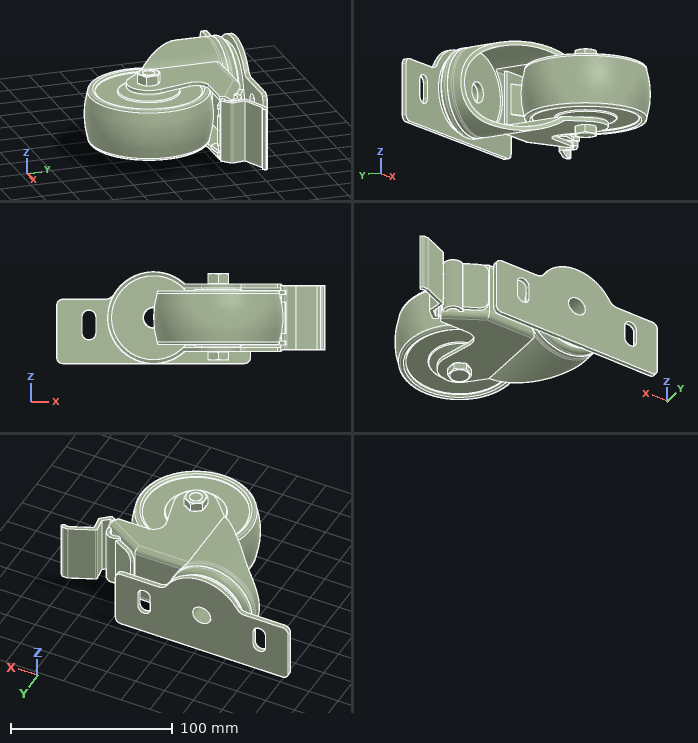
import cadquery as cq
import math


swivel_dia = 57.0
swivel_r = swivel_dia / 2
plate_length = 120.0
plate_width = 40.0
plate_t = 3.0
plate_corner_r = 4.0
plate_neck_r = 6.6
plate_bottom_z = -swivel_r
plate_top_z = plate_bottom_z + plate_width
slot_x = 40.0
slot_z = -4.5
slot_length = 18.3
slot_width = 8.5
plate_bore_dia = 12.5
head_top_r = 23.0
head_top_bulge = (24.9, -4.6)
head_rim_bulge = (27.9, -8.6)
head_seam_dia = 52.0
head_seam_top_y = -6.6
head_seam_bottom_y = -7.1
head_rim_top_y = -11.0
head_rim_bottom_y = -13.0

fork_t = 2.5
fork_top_y = -16.0
drum_top_dia = 56.5
drum_top_y = head_rim_bottom_y
drum_floor_y = -17.0
fork_shoulder = 1.5
fork_half_width = 20.9
fork_inner_half = fork_half_width - fork_t
fork_bend_r = 4.0
fork_bore_dia = 13.1
fork_front_y = -22.9
fork_curve_middle = (-19.3, -28.0)
fork_curve_end = (-11.6, -35.0)
axle_x = 40.0
axle_y = -70.7
axle_eye_r = 14.0
front_edge_angle = 47.6
rear_edge_angle = 14.0
tip_bottom_y = -37.0
throat_r = 8.0
slope_start_x = 54.5
slope_angle = 30.0
slope_length = 29.9
brake_slot_start = 12.5
brake_slot_half = 10.0

wheel_r = 40.0
tread_edge_r = 37.8
tread_edge_z = 15.1
tread_round_r = 37.5
tread_round_z = 16.3
rim_outer_r = 36.7
rim_inner_r = 34.7
wheel_half_width = 16.6
disc_r = 33.2
disc_z = 15.0
rim_wall_z = 15.6
hub_dia = 39.0
hub_cone_dia = 38.0
hub_cone_z = 15.8
hub_top_r = 13.3
hub_top_z = 17.6
boss_dia = 19.5
axle_hole_dia = 8.1

bolt_dia = 8.0
bolt_end_recess = 0.3
hex_flats = 13.0
head_height = 5.3
nut_height = 6.5
head_face_dia = 12.1
nut_face_dia = 12.5
hex_chamfer = 0.5

brake_t = 2.5
tongue_half = 9.6
tongue_depth = 4.5
tongue_start = 18.3
pedal_half_width = 20.0
pedal_clearance = 1.3
pedal_heel_gap = 4.2
pedal_elbows = [(86.8, -32.2), (85.5, -23.0), (101.0, -16.3), (103.9, -16.3)]
lip_angle = 45.0
lip_length = 1.7
loop_inner_dia = 8.1
loop_x = 73.4
loop_y = -28.4
loop_half_width = 18.1
pin_dia = 6.6
pin_x = 71.9
pin_y = -28.0
strip_start = (55.8, -15.0)
strip_end = (70.0, -22.5)
strip_corner_r = 5.8
leaf_t = 1.5
leaf_half_width = 17.0
leaf_start_x = 20.8
leaf_y = -24.2
pad_start = (25.7, -24.5)
pad_end = (34.9, -29.9)
leaf_end = 35.0
ear_t = 2.0
ear_profile = [(66.0, -30.4), (64.7, -37.0), (67.0, -39.0), (74.2, -38.2), (78.8, -37.4)]
notch_depth = 3.3
notch_width = 4.8


def unit(angle):
    """Unit vector in the XY plane at an angle in degrees."""
    return math.cos(math.radians(angle)), math.sin(math.radians(angle))


def from_axle(angle, radius):
    """Point at a given angle and distance from the wheel axle."""
    ux, uy = unit(angle)
    return axle_x + radius * ux, axle_y + radius * uy


def on_slope(along, height):
    """Point measured along and above the sloping top of the fork."""
    ux, uy = unit(-slope_angle)
    return slope_start_x + along * ux - height * uy, fork_top_y + along * uy + height * ux


def prism(wire, half_width):
    """Extrude a closed XY outline to both sides of Z = 0."""
    return wire.extrude(half_width, both=True)


def disc(x, y, diameter, half_width):
    return prism(cq.Workplane("XY").center(x, y).circle(diameter / 2), half_width)


def y_bore(diameter, depth):
    return cq.Workplane("XZ").circle(diameter / 2).extrude(depth)


def make_plate():
    plan = (
        cq.Workplane("XZ")
        .center(0, (plate_top_z + plate_bottom_z) / 2)
        .rect(plate_length, plate_width)
        .extrude(plate_t)
        .edges("|Y")
        .fillet(plate_corner_r)
    )
    neck_z = plate_top_z + plate_neck_r
    neck_x = math.sqrt((swivel_r + plate_neck_r) ** 2 - neck_z**2)
    touch = swivel_r / (swivel_r + plate_neck_r)
    touch_x = neck_x * touch
    touch_z = neck_z * touch
    neck_dir = unit((math.degrees(math.atan2(-neck_z, -neck_x)) - 90) / 2)
    middle_x = neck_x + plate_neck_r * neck_dir[0]
    middle_z = neck_z + plate_neck_r * neck_dir[1]
    centre = (
        cq.Workplane("XZ")
        .moveTo(-neck_x, plate_top_z)
        .threePointArc((-middle_x, middle_z), (-touch_x, touch_z))
        .threePointArc((0, swivel_r), (touch_x, touch_z))
        .threePointArc((middle_x, middle_z), (neck_x, plate_top_z))
        .lineTo(neck_x, 0)
        .lineTo(-neck_x, 0)
        .close()
        .extrude(plate_t)
    )
    plate = plan.union(centre).union(make_swivel_head())
    slots = (
        cq.Workplane("XZ")
        .pushPoints([(-slot_x, slot_z), (slot_x, slot_z)])
        .slot2D(slot_length, slot_width, 90)
        .extrude(plate_t)
    )
    return plate.cut(slots).cut(y_bore(plate_bore_dia, -head_rim_bottom_y))


def make_swivel_head():
    seam_r = head_seam_dia / 2
    return (
        cq.Workplane("XY")
        .moveTo(0, -plate_t)
        .lineTo(head_top_r, -plate_t)
        .threePointArc(head_top_bulge, (seam_r, head_seam_top_y))
        .lineTo(seam_r, head_seam_bottom_y)
        .threePointArc(head_rim_bulge, (swivel_r, head_rim_top_y))
        .lineTo(swivel_r, head_rim_bottom_y)
        .lineTo(0, head_rim_bottom_y)
        .close()
        .revolve(360, (0, 0, 0), (0, 1, 0))
    )


def fork_side_outline():
    eye_front = from_axle(270 - front_edge_angle, axle_eye_r)
    eye_bottom = from_axle(-90, axle_eye_r)
    eye_rear = from_axle(rear_edge_angle, axle_eye_r)
    slant = math.tan(math.radians(rear_edge_angle))
    corner_x = eye_rear[0] - (tip_bottom_y - eye_rear[1]) * slant
    reach = throat_r / math.tan(math.radians(90 - rear_edge_angle) / 2)
    throat_x = corner_x + reach
    throat_y = tip_bottom_y - throat_r
    lean = unit(90 + rear_edge_angle)
    throat_start = (corner_x - reach * lean[0], tip_bottom_y - reach * lean[1])
    throat_dir = unit(90 + (90 + rear_edge_angle) / 2)
    throat_middle = (throat_x + throat_r * throat_dir[0], throat_y + throat_r * throat_dir[1])
    tip_top = on_slope(slope_length, 0)
    tip_drop = (tip_top[1] - tip_bottom_y) * math.tan(math.radians(slope_angle))
    return (
        cq.Workplane("XY")
        .moveTo(*eye_front)
        .threePointArc(eye_bottom, eye_rear)
        .lineTo(*throat_start)
        .threePointArc(throat_middle, (throat_x, tip_bottom_y))
        .lineTo(tip_top[0] - tip_drop, tip_bottom_y)
        .lineTo(*tip_top)
        .lineTo(slope_start_x, fork_top_y)
        .lineTo(swivel_r, fork_top_y)
        .lineTo(swivel_r, drum_top_y)
        .lineTo(-swivel_r, drum_top_y)
        .lineTo(-swivel_r, fork_front_y)
        .threePointArc(fork_curve_middle, fork_curve_end)
        .close()
    )


def arm_block(inset, half_width, bend_r):
    """Block under the flat and sloping fork top, lowered by inset, with rounded top edges."""
    crease = inset * math.tan(math.radians(slope_angle / 2))
    floor_y = axle_y - swivel_r
    end = on_slope(2 * slope_length, -inset)
    return (
        prism(
            cq.Workplane("XY")
            .moveTo(0, fork_top_y - inset)
            .lineTo(slope_start_x - crease, fork_top_y - inset)
            .lineTo(*end)
            .lineTo(end[0], floor_y)
            .lineTo(0, floor_y)
            .close(),
            half_width,
        )
        .edges("not (|Z or |Y or <Y)")
        .fillet(bend_r)
    )


def make_fork():
    drum_length = fork_top_y - axle_y + swivel_r
    drum = (
        cq.Workplane("XY")
        .moveTo(0, drum_top_y)
        .lineTo(drum_top_dia / 2, drum_top_y)
        .lineTo(drum_top_dia / 2, fork_top_y)
        .lineTo(swivel_r, fork_top_y - fork_shoulder)
        .lineTo(swivel_r, fork_top_y - drum_length)
        .lineTo(0, fork_top_y - drum_length)
        .close()
        .revolve(360, (0, 0, 0), (0, 1, 0))
    )
    cavity = (
        cq.Workplane("XZ", origin=(0, drum_floor_y, 0))
        .circle(swivel_r - fork_t)
        .extrude(drum_length)
        .union(arm_block(fork_t, fork_inner_half, fork_bend_r - fork_t))
    )
    body = drum.union(arm_block(0, fork_half_width, fork_bend_r))
    fork = body.intersect(prism(fork_side_outline(), swivel_r)).cut(cavity)
    brake_slot = prism(
        cq.Workplane("XY").polyline(
            [
                on_slope(brake_slot_start, fork_t),
                on_slope(slope_length + fork_t, fork_t),
                on_slope(slope_length + fork_t, -2 * fork_t),
                on_slope(brake_slot_start, -2 * fork_t),
            ]
        ).close(),
        brake_slot_half,
    )
    fork = fork.cut(brake_slot)
    fork = fork.cut(disc(axle_x, axle_y, axle_hole_dia, swivel_r))
    return fork.cut(y_bore(fork_bore_dia, -fork_top_y + 2 * fork_t))


def make_wheel():
    boss_z = fork_inner_half
    side = [
        (boss_dia / 2, boss_z),
        (boss_dia / 2, hub_top_z),
        (hub_top_r, hub_top_z),
        (hub_cone_dia / 2, hub_cone_z),
        (hub_dia / 2, disc_z),
        (disc_r, disc_z),
        (disc_r, rim_wall_z),
        (rim_inner_r, wheel_half_width),
        (rim_outer_r, wheel_half_width),
    ]
    hole_r = axle_hole_dia / 2
    profile = cq.Workplane("XZ").moveTo(hole_r, -boss_z).lineTo(hole_r, boss_z)
    for r, z in side:
        profile = profile.lineTo(r, z)
    profile = (
        profile.threePointArc((tread_round_r, tread_round_z), (tread_edge_r, tread_edge_z))
        .threePointArc((wheel_r, 0), (tread_edge_r, -tread_edge_z))
        .threePointArc((tread_round_r, -tread_round_z), (rim_outer_r, -wheel_half_width))
    )
    for r, z in reversed(side[:-1]):
        profile = profile.lineTo(r, -z)
    wheel = profile.close().revolve(360, (0, 0, 0), (0, 1, 0))
    return wheel.translate((axle_x, axle_y, 0))


def hex_block(height, face_dia):
    """Hexagon standing on Z = 0 at the axle, its corners bevelled at both end faces."""
    corner_dia = hex_flats / math.cos(math.radians(30))
    cone = (
        cq.Workplane("XZ")
        .polyline(
            [
                (0, 0),
                (face_dia / 2, 0),
                (corner_dia / 2, hex_chamfer),
                (corner_dia / 2, height - hex_chamfer),
                (face_dia / 2, height),
                (0, height),
            ]
        )
        .close()
        .revolve(360, (0, 0, 0), (0, 1, 0))
    )
    hexagon = cq.Workplane("XY").polygon(6, corner_dia).extrude(height).rotate((0, 0, 0), (0, 0, 1), 90)
    return hexagon.intersect(cone).translate((axle_x, axle_y, 0))


def make_bolt():
    head = hex_block(head_height, head_face_dia).translate((0, 0, -fork_half_width - head_height))
    shank = (
        cq.Workplane("XY", origin=(axle_x, axle_y, -fork_half_width))
        .circle(bolt_dia / 2)
        .extrude(2 * fork_half_width + nut_height - bolt_end_recess)
    )
    return head.union(shank)


def make_nut():
    nut = hex_block(nut_height, nut_face_dia).translate((0, 0, fork_half_width))
    return nut.cut(disc(axle_x, axle_y, bolt_dia, 2 * swivel_r))


def sheet(points, thickness, half_width):
    """Bent sheet following a centre line, with rounded outsides at its bends."""
    bent = None
    for start, end in zip(points, points[1:]):
        length = math.dist(start, end)
        plane = cq.Plane((*start, 0), (end[0] - start[0], end[1] - start[1], 0), (0, 0, 1))
        leg = prism(cq.Workplane(plane).center(length / 2, 0).rect(length, thickness), half_width)
        bent = leg if bent is None else bent.union(leg)
    for x, y in points[1:-1]:
        bent = bent.union(disc(x, y, thickness, half_width))
    return bent


def pedal_heel():
    """Bend behind the fork tip where the sheet turns up into the pedal."""
    return on_slope(slope_length + pedal_heel_gap, -tongue_depth)


def make_pedal():
    lip_dir = unit(-lip_angle)
    last_elbow = pedal_elbows[-1]
    lip_end = (last_elbow[0] + lip_length * lip_dir[0], last_elbow[1] + lip_length * lip_dir[1])
    pedal_start = on_slope(slope_length + pedal_clearance, -tongue_depth)
    return sheet([pedal_start, pedal_heel(), *pedal_elbows, lip_end], brake_t, pedal_half_width)


def make_tongue():
    """Narrow inner end of the pedal sheet, under the sloping fork top."""
    return sheet([on_slope(tongue_start, -tongue_depth), pedal_heel()], brake_t, tongue_half)


def make_loop():
    """Open loop resting on the sloping fork top, its pin, and the leg joining it to the tongue."""
    outer_dia = loop_inner_dia + 2 * brake_t
    ring = disc(loop_x, loop_y, outer_dia, loop_half_width)
    ring = ring.cut(disc(loop_x, loop_y, loop_inner_dia, loop_half_width))
    below_slope = sheet(
        [on_slope(0, -outer_dia / 2), on_slope(2 * slope_length, -outer_dia / 2)], outer_dia, loop_half_width
    )
    leg_x = loop_x + (loop_inner_dia + brake_t) / 2
    slope = math.radians(slope_angle)
    leg_end_y = fork_top_y - (leg_x - slope_start_x) * math.tan(slope) - tongue_depth / math.cos(slope)
    leg = sheet([(leg_x, loop_y), (leg_x, leg_end_y)], brake_t, tongue_half)
    return ring.cut(below_slope).union(leg).union(disc(pin_x, pin_y, pin_dia, tongue_half))


def make_top_strip():
    strip = sheet([strip_start, strip_end], brake_t, leaf_half_width)
    return strip.faces("<X").edges("not |Z").fillet(strip_corner_r)


def make_leaf():
    """Brake leaf under the fork top, with a pad over the wheel, one side ear and a notched end."""
    depth = tongue_depth + (brake_t + leaf_t) / 2
    slope = math.radians(slope_angle)
    knee_x = slope_start_x + (fork_top_y - depth / math.cos(slope) - leaf_y) / math.tan(slope)
    end = on_slope(leaf_end, -depth)
    leaf = sheet([(leaf_start_x, leaf_y), (knee_x, leaf_y), end], leaf_t, leaf_half_width)
    leaf = leaf.union(sheet([pad_start, pad_end], leaf_t, tongue_half))
    notch = sheet([on_slope(leaf_end - notch_depth, -depth), end], leaf_t, notch_width / 2)
    for side in (-1, 1):
        leaf = leaf.cut(notch.translate((0, 0, side * (tongue_half + notch_width / 2))))
    ear = prism(cq.Workplane("XY").polyline(ear_profile).close(), ear_t / 2)
    return leaf.union(ear.translate((0, 0, ear_t / 2 - leaf_half_width)))


def make_brake():
    brake = make_pedal().union(make_tongue())
    brake = brake.union(make_leaf())
    return brake.union(make_loop()).union(make_top_strip())


plate = make_plate()
fork = make_fork()
wheel = make_wheel()
bolt = make_bolt()
nut = make_nut()
brake = make_brake()

result = cq.Compound.makeCompound(
    [plate.val(), fork.val(), wheel.val(), bolt.val(), nut.val(), brake.val()]
)